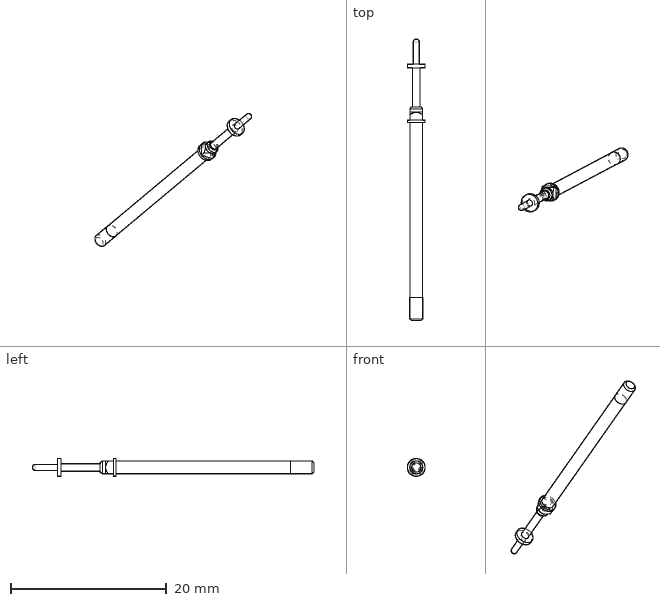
import cadquery as cq

disc_front = 3.2
disc_back = 3.7
collar_front = 8.7
collar_cone_end = 9.0
square_front = 9.4
flange_front = 10.4
flange_back = 10.75
tail_front = 33.2
total_length = 36.2

pin_diameter = 0.8
rod_diameter = 1.0
disc_diameter = 2.3
flange_diameter = disc_diameter
collar_nose_diameter = 1.3
body_diameter = 1.65
tail_diameter = 1.68

square_side = body_diameter
tip_radius = 0.35
tail_chamfer = 0.25

mid_length = total_length / 2


def turned(front, back, front_diameter, back_diameter=None):
    """Solid of revolution between two stations: a cylinder, or a cone if the diameters differ."""
    if back_diameter is None:
        back_diameter = front_diameter
    profile = [
        (0, mid_length - front),
        (front_diameter / 2, mid_length - front),
        (back_diameter / 2, mid_length - back),
        (0, mid_length - back),
    ]
    return cq.Workplane("XY").polyline(profile).close().revolve(360, (0, 0, 0), (0, 1, 0))


def make_pin():
    pin = turned(0, disc_front, pin_diameter)
    return pin.faces(">Y").edges().fillet(tip_radius)


def make_disc_and_rod():
    disc = turned(disc_front, disc_back, disc_diameter)
    return disc.union(turned(disc_back, collar_front, rod_diameter))


def make_collar():
    nose = turned(collar_front, collar_cone_end, collar_nose_diameter, body_diameter)
    return nose.union(turned(collar_cone_end, square_front, body_diameter))


def make_square():
    """Square length whose front corners are cut back by a 45 degree cone."""
    length = flange_front - square_front
    prism = cq.Workplane("XY").box(square_side, length, square_side)
    prism = prism.translate((0, mid_length - square_front - length / 2, 0))
    cone_back_diameter = body_diameter + 2 * length
    envelope = turned(square_front, flange_front, body_diameter, cone_back_diameter)
    return prism.intersect(envelope)


def make_body():
    flange = turned(flange_front, flange_back, flange_diameter)
    return flange.union(turned(flange_back, tail_front, body_diameter))


def make_tail():
    tail = turned(tail_front, total_length, tail_diameter)
    return tail.faces("<Y").chamfer(tail_chamfer)


result = make_pin()
rear_sections = (make_disc_and_rod(), make_collar(), make_square(), make_body(), make_tail())
for section in rear_sections:
    result = result.union(section)